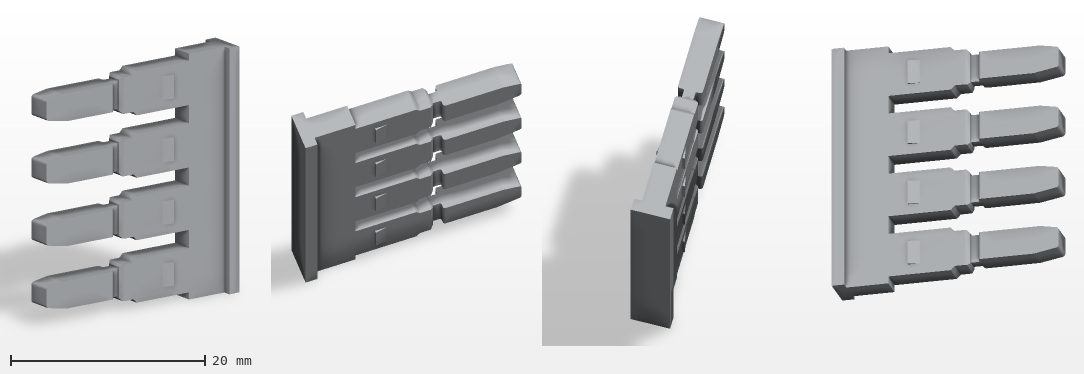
import cadquery as cq
import math


comb_height = 26.3
comb_length = 24.0
flange_width = 4.2
flange_depth = 1.32
web_width = 2.5
web_depth = 5.8

prong_count = 4
prong_pitch = 6.68

body_height = 4.73
shoulder_start = 12.47
shoulder_step = 0.42
nose_height = body_height - 2 * shoulder_step
nose_end = 14.45
nose_side_chamfer = 0.37
nose_edge_chamfer = 0.25

latch_start = 7.95
latch_end = 9.25
latch_height = 2.52
latch_rise = 0.25

contact_height = 3.0
neck_width = 1.2
neck_fillet = 0.18
blade_width = 2.65
blade_start = 15.45
blade_rounding = 0.25
upper_taper_start = 22.0
lower_taper_start = 21.35
taper_angle = 10.0
tip_radius = 0.32


def make_backbone():
    """Upright web with a wider flange along its back edge."""
    flange = cq.Workplane("XY").box(
        flange_width, flange_depth, comb_height, centered=(True, False, True)
    ).translate((0, -flange_depth, 0))
    web = cq.Workplane("XY").box(
        web_width, web_depth, comb_height, centered=(True, False, True)
    ).translate((0, -web_depth, 0))
    return flange.union(web)


def make_body():
    """Stepped body with a slanted shoulder and a nose bevelled on all four edges."""
    half_body = body_height / 2
    half_nose = nose_height / 2
    shoulder_end = shoulder_start + shoulder_step
    nose_bevel_start = nose_end - nose_edge_chamfer
    side_profile = [
        (0, -half_body),
        (-shoulder_start, -half_body),
        (-shoulder_end, -half_nose),
        (-nose_bevel_start, -half_nose),
        (-nose_end, -half_nose + nose_edge_chamfer),
        (-nose_end, half_nose - nose_edge_chamfer),
        (-nose_bevel_start, half_nose),
        (-shoulder_end, half_nose),
        (-shoulder_start, half_body),
        (0, half_body),
    ]
    body = cq.Workplane("YZ").polyline(side_profile).close().extrude(web_width / 2, both=True)
    return body.faces("<Y").edges("|Z").chamfer(nose_side_chamfer)


def make_latches():
    """Symmetric pair of wedges, tallest at the rear and running out toward the tip."""
    half_web = web_width / 2
    half_latch = half_web + latch_rise
    plan_profile = [
        (-half_latch, -latch_start),
        (half_latch, -latch_start),
        (half_web, -latch_end),
        (-half_web, -latch_end),
    ]
    return cq.Workplane("XY").polyline(plan_profile).close().extrude(latch_height / 2, both=True)


def make_contact():
    """Neck and blade, with a tip that tapers more on the lower side."""
    half_height = contact_height / 2
    neck = cq.Workplane("XY").box(
        neck_width, blade_start, contact_height, centered=(True, False, True)
    ).translate((0, -blade_start, 0))

    slope = math.tan(math.radians(taper_angle))
    upper_tip = half_height - (comb_length - upper_taper_start) * slope
    lower_tip = -half_height + (comb_length - lower_taper_start) * slope
    side_profile = [
        (-blade_start, half_height),
        (-upper_taper_start, half_height),
        (-comb_length, upper_tip),
        (-comb_length, lower_tip),
        (-lower_taper_start, -half_height),
        (-blade_start, -half_height),
    ]
    blade = cq.Workplane("YZ").polyline(side_profile).close().extrude(blade_width / 2, both=True)
    blade = blade.faces("<Y").edges("|X").fillet(tip_radius)
    blade = blade.faces(">Y").edges("|Z").fillet(blade_rounding)

    neck_corners = cq.selectors.BoxSelector(
        (-neck_width, -blade_start - neck_fillet, -contact_height),
        (neck_width, -blade_start + neck_fillet, contact_height),
    )
    return neck.union(blade).edges("|Z").edges(neck_corners).fillet(neck_fillet)


prong = make_body().union(make_latches()).union(make_contact())

result = make_backbone()
for index in range(prong_count):
    prong_z = (index - (prong_count - 1) / 2) * prong_pitch
    result = result.union(prong.translate((0, 0, prong_z)))